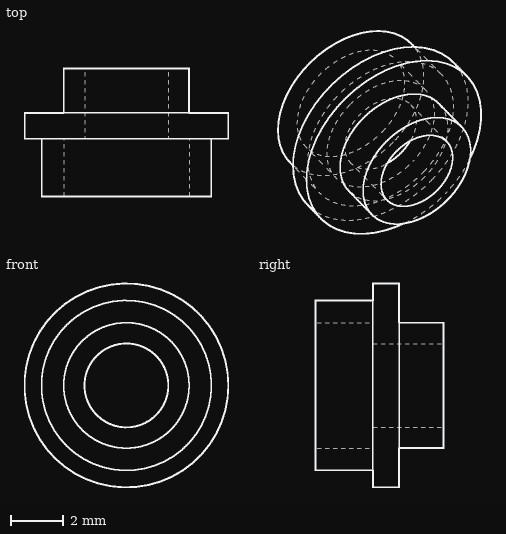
import cadquery as cq

flange_diameter = 7.8
flange_thickness = 1.0
socket_boss_diameter = 6.5
socket_boss_length = 2.2
spigot_diameter = 4.8
spigot_length = 1.7
bore_diameter = 3.2
socket_diameter = spigot_diameter
socket_depth = 2.2

total_length = socket_boss_length + flange_thickness + spigot_length


def cylinder(diameter, start, length):
    """Solid cylinder running from y = start toward +Y."""
    plane = cq.Workplane("XZ", origin=(0, start, 0))
    return plane.circle(diameter / 2).extrude(-length)


flange_start = socket_boss_length
spigot_start = flange_start + flange_thickness
body = cylinder(socket_boss_diameter, 0, socket_boss_length)
body = body.union(cylinder(flange_diameter, flange_start, flange_thickness))
body = body.union(cylinder(spigot_diameter, spigot_start, spigot_length))

body = body.cut(cylinder(bore_diameter, 0, total_length))
result = body.cut(cylinder(socket_diameter, 0, socket_depth))